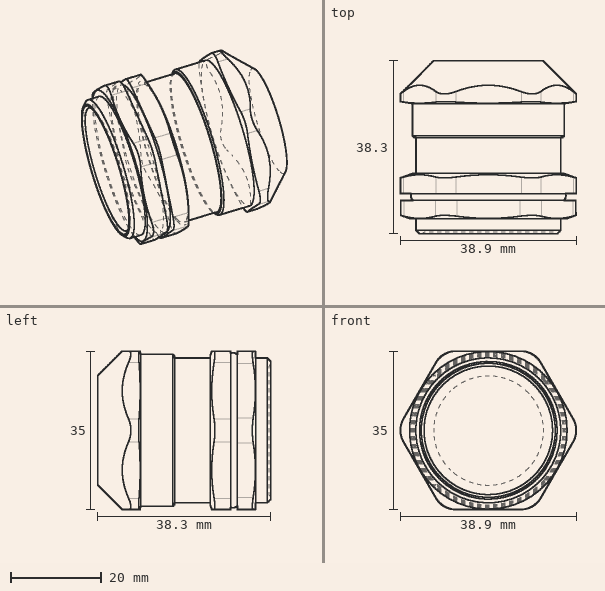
import cadquery as cq
import math


ACROSS_FLATS = 35.0
BODY_CORNER_RADIUS = 5.0
LOCK_NUT_CORNER_RADIUS = 5.5
CAP_BEVEL_ANGLE = 10.0
FLANGE_BEVEL_ANGLE = 20.0
LOCK_NUT_BEVEL_ANGLE = 20.0

TOTAL_LENGTH = 38.25
SEAL_LENGTH = 1.5
LOCK_NUT_LENGTH = 4.0
SPIGOT_END_LENGTH = 3.4
FLANGE_LENGTH = 4.5
NECK_LENGTH = 7.85
COLLAR_LENGTH = 7.5

THREAD_DIAMETER = 32.0
COLLAR_DIAMETER = 33.6
FLANGE_BEVEL_DIAMETER = 33.2
SEAL_DIAMETER = 34.3
CAP_END_DIAMETER = 24.2
LOCK_NUT_BEVEL_DIAMETER = 34.8
RECESS_MOUTH_DIAMETER = 29.6
RECESS_FLOOR_DIAMETER = 28.4

CAP_CONE_ANGLE = 45.0
SPIGOT_CHAMFER = 0.8
COLLAR_CHAMFER = 0.4
SEAL_CORD_RADIUS = 1.25
SEAL_CREST = -0.5
RECESS_DEPTH = 0.5

LOCK_NUT_BACK = -SEAL_LENGTH
LOCK_NUT_FRONT = LOCK_NUT_BACK - LOCK_NUT_LENGTH
SPIGOT_FRONT = LOCK_NUT_FRONT - SPIGOT_END_LENGTH
FLANGE_BACK = FLANGE_LENGTH
COLLAR_FRONT = FLANGE_BACK + NECK_LENGTH
CAP_FRONT = COLLAR_FRONT + COLLAR_LENGTH
CAP_BACK = SPIGOT_FRONT + TOTAL_LENGTH


def frustum(y_start, y_end, start_diameter, end_diameter):
    """Solid of revolution about Y whose diameter changes evenly between two stations."""
    profile = [
        (0, y_start),
        (start_diameter / 2, y_start),
        (end_diameter / 2, y_end),
        (0, y_end),
    ]
    return cq.Workplane("XY").polyline(profile).close().revolve(360, (0, 0, 0), (0, 1, 0))


def cylinder(y_start, y_end, diameter):
    return frustum(y_start, y_end, diameter, diameter)


def hexagon(y_start, y_end, corner_radius):
    """Hexagonal prism with rounded corners, two of them pointing along X."""
    across_corners = ACROSS_FLATS / math.cos(math.radians(30))
    return (
        cq.Workplane("XZ", origin=(0, y_end, 0))
        .polygon(6, across_corners)
        .extrude(y_end - y_start)
        .edges("|Y")
        .fillet(corner_radius)
    )


def bevel_corners(prism, y_face, y_far, face_diameter, angle):
    """Trim a prism by a cone that starts at y_face and widens towards y_far.

    The angle is measured between the cone's side and the end face.
    """
    growth = 2 * abs(y_far - y_face) / math.tan(math.radians(angle))
    return prism.intersect(frustum(y_face, y_far, face_diameter, face_diameter + growth))


def make_cap():
    cap = hexagon(CAP_FRONT, CAP_BACK, BODY_CORNER_RADIUS)
    cap = bevel_corners(cap, CAP_BACK, CAP_FRONT, CAP_END_DIAMETER, CAP_CONE_ANGLE)
    return bevel_corners(cap, CAP_FRONT, CAP_BACK, COLLAR_DIAMETER, CAP_BEVEL_ANGLE)


def make_flange():
    flange = hexagon(0, FLANGE_BACK, BODY_CORNER_RADIUS)
    return bevel_corners(flange, FLANGE_BACK, 0, FLANGE_BEVEL_DIAMETER, FLANGE_BEVEL_ANGLE)


def make_lock_nut():
    nut = hexagon(LOCK_NUT_FRONT, LOCK_NUT_BACK, LOCK_NUT_CORNER_RADIUS)
    return bevel_corners(
        nut, LOCK_NUT_FRONT, LOCK_NUT_BACK, LOCK_NUT_BEVEL_DIAMETER, LOCK_NUT_BEVEL_ANGLE
    )


def make_collar():
    collar = cylinder(COLLAR_FRONT, CAP_FRONT, COLLAR_DIAMETER)
    return collar.faces("<Y").edges().chamfer(COLLAR_CHAMFER)


def seal_radius(y):
    """Radius of the seal's rounded rim at station y."""
    drop = SEAL_CORD_RADIUS - math.sqrt(SEAL_CORD_RADIUS**2 - (y - SEAL_CREST) ** 2)
    return SEAL_DIAMETER / 2 - drop


def make_seal():
    """Sealing ring between lock nut and flange, with a rounded rim."""
    return (
        cq.Workplane("XY")
        .moveTo(0, LOCK_NUT_BACK)
        .lineTo(seal_radius(LOCK_NUT_BACK), LOCK_NUT_BACK)
        .threePointArc((seal_radius(SEAL_CREST), SEAL_CREST), (seal_radius(0), 0))
        .lineTo(0, 0)
        .close()
        .revolve(360, (0, 0, 0), (0, 1, 0))
    )


def make_core():
    """Threaded spigot and neck as one plain cylinder, chamfered at its open end."""
    core = cylinder(SPIGOT_FRONT, CAP_FRONT, THREAD_DIAMETER)
    return core.faces("<Y").edges().chamfer(SPIGOT_CHAMFER)


def make_recess():
    """Shallow tapered recess in the spigot's end face."""
    floor = SPIGOT_FRONT + RECESS_DEPTH
    return frustum(SPIGOT_FRONT, floor, RECESS_MOUTH_DIAMETER, RECESS_FLOOR_DIAMETER)


result = make_core()
for piece in (make_lock_nut(), make_seal(), make_flange(), make_collar(), make_cap()):
    result = result.union(piece)
result = result.cut(make_recess())